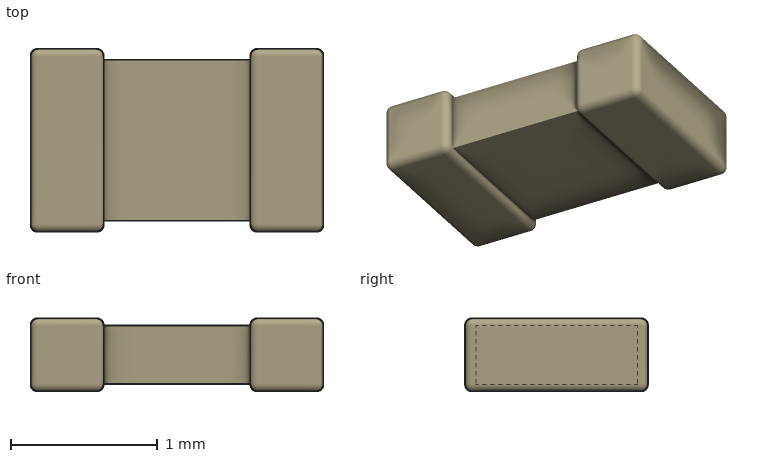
import cadquery as cq

length = 2.0
width = 1.25
height = 0.5

terminal_length = length / 4
edge_radius = 0.05

body_width = 1.1
body_height = height - 2 * edge_radius


def terminal(side):
    """Block with every edge rounded, at the -X (side = -1) or +X (side = 1) end."""
    center_x = side * (length - terminal_length) / 2
    block = cq.Workplane("XY").box(terminal_length, width, height)
    return block.edges().fillet(edge_radius).translate((center_x, 0, 0))


body_length = length - terminal_length
result = cq.Workplane("XY").box(body_length, body_width, body_height)
for side in (-1, 1):
    result = result.union(terminal(side))